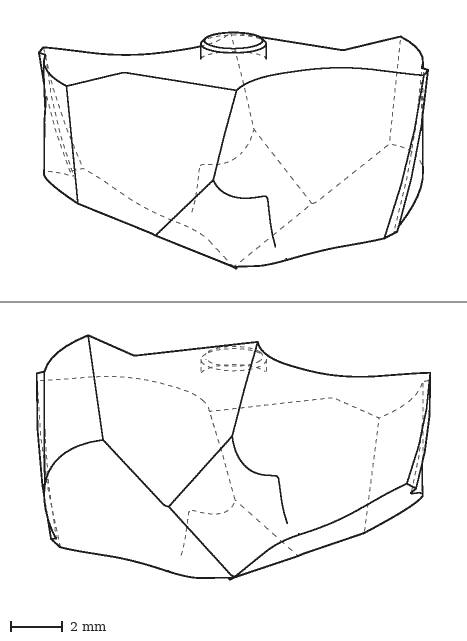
import cadquery as cq
import math

land_radius = 7.6
body_radius = 7.31
tip_depth = 8.25
twist_per_unit = 4.408
blank_depth = 9.12
reach = 18.24

land_start_angle = 15.0
land_end_angle = 21.0
step_end_angle = 22.8
heel_angle = 120.0
flute_points = [(5.87, 1.76), (4.71, 1.58), (3.57, 0.95), (2.66, -0.18), (2.16, -1.17), (1.98, -2.2), (2.13, -3.45)]
flute_tail = (2.58, -4.86)

notch_y = 3.45
notch_x = 2.89
notch_flare = 0.348
notch_lean = 0.195
notch_corner_radius = 0.12

lip_slope = (-0.35, -0.05)
relief_slope = (-0.36, -0.396)
gash_slope = (1.01, -0.987)
gash_wall_angle = -32.0
gash_straight_length = 1.98
gash_bend_end = (3.04, -1.19)
gash_radius = 0.23

boss_radius = 1.26
boss_height = 0.84
boss_chamfer = 0.14
boss_base_fillet = 0.14


def polar(radius, angle):
    return (radius * math.cos(math.radians(angle)), radius * math.sin(math.radians(angle)))


def opposite(point):
    return (-point[0], -point[1])


def add_half_outline(sketch, place):
    """Trace one land, its clearance and the next flute; `place` maps points to either side."""
    clearance_middle = (step_end_angle + heel_angle) / 2
    land_middle = (land_start_angle + land_end_angle) / 2
    next_flute = [*reversed(flute_points[:-1]), polar(land_radius, land_start_angle)]
    return (
        sketch.threePointArc(place(polar(land_radius, land_middle)), place(polar(land_radius, land_end_angle)))
        .lineTo(*place(polar(body_radius, step_end_angle)))
        .threePointArc(place(polar(body_radius, clearance_middle)), place(polar(body_radius, heel_angle)))
        .lineTo(*place(opposite(flute_tail)))
        .lineTo(*place(opposite(flute_points[-1])))
        .spline([place(opposite(point)) for point in next_flute], includeCurrent=True)
    )


def helical_blank():
    twist = twist_per_unit * blank_depth
    sketch = cq.Workplane("XY").moveTo(*polar(land_radius, land_start_angle))
    sketch = add_half_outline(sketch, lambda point: point)
    sketch = add_half_outline(sketch, opposite).close()
    blank = sketch.twistExtrude(blank_depth, twist)
    return blank.rotate((0, 0, 0), (0, 0, 1), -twist).translate((0, 0, -blank_depth))


def notch_section(depth):
    """Closed outline of the +Y notch at one depth below the seating face."""
    corner_x = notch_x - notch_lean * depth
    outer_x = corner_x + notch_flare * (reach - notch_y)
    points = [(corner_x, notch_y), (outer_x, reach), (-reach, reach), (-reach, notch_y)]
    return cq.Wire.makePolygon([cq.Vector(x, y, -depth) for x, y in points], close=True)


def notch():
    solid = cq.Solid.makeLoft([notch_section(0), notch_section(blank_depth)], True)
    corner = cq.Vector(notch_x - notch_lean * blank_depth / 2, notch_y, -blank_depth / 2)
    return cq.Workplane(solid).edges(cq.NearestToPointSelector(corner.toTuple())).fillet(notch_corner_radius)


def below_facet(slope):
    """Block filling the space under a facet that passes through the tip."""
    facet = cq.Plane(origin=(0, 0, -tip_depth), normal=(-slope[0], -slope[1], 1))
    return cq.Workplane(facet).rect(2 * reach, 2 * reach).extrude(-reach)


def point_grind():
    """Material ground off one side of the tip: lip, relief and web-thinning gash."""
    ground_side = (
        cq.Workplane("XY", origin=(0, 0, -reach))
        .moveTo(*polar(-2 * reach, gash_wall_angle))
        .lineTo(*polar(gash_straight_length, gash_wall_angle))
        .tangentArcPoint(gash_bend_end, relative=False)
        .lineTo(gash_bend_end[0], -2 * reach)
        .lineTo(-2 * reach, -2 * reach)
        .close()
        .extrude(2 * reach)
    )
    gash = below_facet(gash_slope).intersect(ground_side)
    wall_x, wall_y = polar(0.15, gash_wall_angle)
    gash_bottom = (wall_x, wall_y, -tip_depth + gash_slope[0] * wall_x + gash_slope[1] * wall_y)
    gash = gash.edges(cq.NearestToPointSelector(gash_bottom)).fillet(gash_radius)
    for slope in (lip_slope, relief_slope):
        gash = gash.union(below_facet(slope).intersect(ground_side))
    return gash


def boss():
    top_radius = boss_radius - boss_chamfer
    inset = boss_base_fillet * (1 - math.sqrt(0.5))
    return (
        cq.Workplane("XZ")
        .lineTo(boss_radius + boss_base_fillet, 0)
        .threePointArc((boss_radius + inset, inset), (boss_radius, boss_base_fillet))
        .lineTo(boss_radius, boss_height - boss_chamfer)
        .lineTo(top_radius, boss_height)
        .lineTo(0, boss_height)
        .close()
        .revolve(360, (0, 0, 0), (0, 1, 0))
    )


head = helical_blank()
for tool in (notch(), point_grind()):
    head = head.cut(tool)
    head = head.cut(tool.rotate((0, 0, 0), (0, 0, 1), 180))
result = head.union(boss())